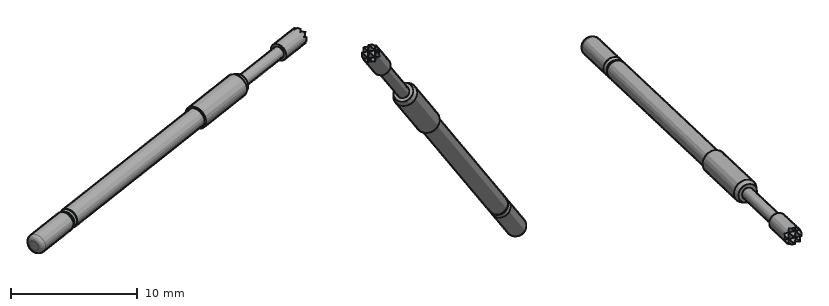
import cadquery as cq
import math

length = 36.3
collar_diameter = 2.0

head_diameter = 1.5
plunger_diameter = 1.0
barrel_diameter = 1.67
groove_lip_diameter = 1.55
groove_root_diameter = 1.4
nose_diameter = 1.65

head_length = 3.0
plunger_length = 5.25
nose_length = 0.45
collar_length = 6.0
groove_to_tail = 4.2
groove_width = 0.55
groove_root_offset = 0.25
tail_fillet = 0.4

tooth_pitch = 0.58
groove_angle = 66.0
v_grooves_per_direction = 4

tip_y = length / 2
tail_y = -length / 2
head_y = tip_y - head_length
collar_top_y = head_y - plunger_length
collar_bottom_y = collar_top_y - collar_length
groove_bottom_y = tail_y + groove_to_tail
groove_top_y = groove_bottom_y + groove_width
groove_root_y = groove_top_y - groove_root_offset


def quarter_round_middle(start, corner, end):
    """Middle point of the quarter circle that rounds `corner` between start and end."""
    centre = (start[0] + end[0] - corner[0], start[1] + end[1] - corner[1])
    cos_45 = math.sqrt(0.5)
    return (
        centre[0] + (corner[0] - centre[0]) * cos_45,
        centre[1] + (corner[1] - centre[1]) * cos_45,
    )


def pin_body():
    """Revolve the half outline, drawn as (radius, y), about the Y axis."""
    head_radius = head_diameter / 2
    plunger_radius = plunger_diameter / 2
    nose_start = (nose_diameter / 2, collar_top_y)
    nose_end = (collar_diameter / 2, collar_top_y - nose_length)
    barrel_radius = barrel_diameter / 2
    tail_start = (barrel_radius, tail_y + tail_fillet)
    tail_corner = (barrel_radius, tail_y)
    tail_end = (barrel_radius - tail_fillet, tail_y)
    outline = (
        cq.Workplane("XY")
        .moveTo(0, tip_y)
        .lineTo(head_radius, tip_y)
        .lineTo(head_radius, head_y)
        .lineTo(plunger_radius, head_y)
        .lineTo(plunger_radius, collar_top_y)
        .lineTo(*nose_start)
        .lineTo(*nose_end)
        .lineTo(nose_end[0], collar_bottom_y)
        .lineTo(barrel_radius, collar_bottom_y)
        .lineTo(barrel_radius, groove_top_y)
        .lineTo(groove_lip_diameter / 2, groove_top_y)
        .lineTo(groove_root_diameter / 2, groove_root_y)
        .lineTo(barrel_radius, groove_bottom_y)
        .lineTo(*tail_start)
        .threePointArc(quarter_round_middle(tail_start, tail_corner, tail_end), tail_end)
        .lineTo(0, tail_y)
        .close()
    )
    return outline.revolve(360, (0, 0, 0), (0, 1, 0))


def v_grooves():
    """Parallel V-grooves along Z across the tip, leaving a row of teeth on the pin axis."""
    half_pitch = tooth_pitch / 2
    depth = half_pitch / math.tan(math.radians(groove_angle / 2))
    grooves = cq.Workplane("XY")
    for index in range(v_grooves_per_direction):
        x = (index - (v_grooves_per_direction - 1) / 2) * tooth_pitch
        groove = (
            cq.Workplane("XY")
            .polyline([(x - half_pitch, tip_y), (x, tip_y - depth), (x + half_pitch, tip_y)])
            .close()
            .extrude(head_diameter, both=True)
        )
        grooves = grooves.add(groove)
    return grooves.combine()


def serrate(body):
    """Cross two sets of V-grooves at right angles to form pyramid teeth."""
    along_z = v_grooves()
    along_x = along_z.rotate((0, 0, 0), (0, 1, 0), 90)
    return body.cut(along_z).cut(along_x)


result = serrate(pin_body())